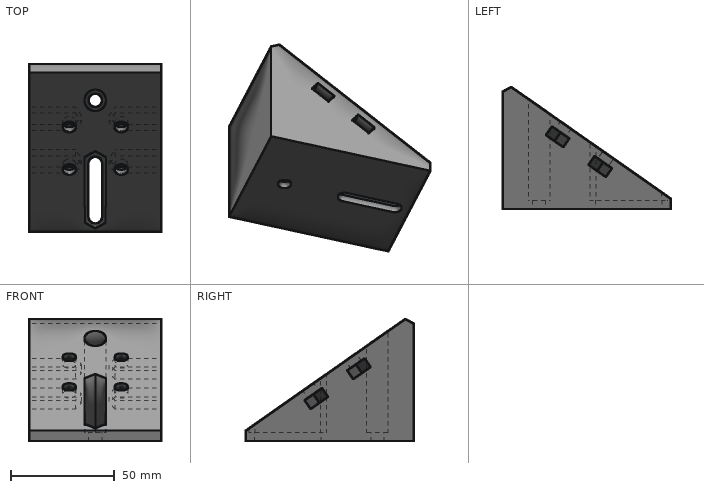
import cadquery as cq
import math

WIDTH = 63.5
DEPTH = 80.8
HEIGHT = 58.71
FRONT_HEIGHT = 5.0
BACK_HEIGHT = 56.5
SLOPE_ANGLE = 35.0
RIDGE_Y = (HEIGHT - FRONT_HEIGHT) / math.tan(math.radians(SLOPE_ANGLE))

HEAD_DIAMETER = 10.3
SCREW_DIAMETER = 6.3
SEAT_HEIGHT = 4.0
BACK_SCREW_Y = 63.3
SLOT_WIDTH = 6.5
SLOT_FRONT_Y = 7.4
SLOT_BACK_Y = 32.9
POCKET_FRONT_WIDTH = 10.0
POCKET_BACK_WIDTH = 10.4

HOLE_PITCH = 25.0
LOWER_ROW_DISTANCE = 36.64
NUT_ACROSS_FLATS = 10.2
NUT_SLOT_THICKNESS = 5.1
NUT_SLOT_COVER = 4.3
HOLE_DEPTH = NUT_SLOT_COVER + NUT_SLOT_THICKNESS


def hexagon_radius(across_flats):
    """Corner radius of a regular hexagon."""
    return across_flats / 2 / math.cos(math.pi / 6)


def make_wedge():
    profile = [
        (0, 0),
        (DEPTH, 0),
        (DEPTH, BACK_HEIGHT),
        (RIDGE_Y, HEIGHT),
        (0, FRONT_HEIGHT),
    ]
    return cq.Workplane("YZ").polyline(profile).close().extrude(WIDTH / 2, both=True)


def make_back_screw_hole():
    shank = cq.Workplane("XY").center(0, BACK_SCREW_Y).circle(SCREW_DIAMETER / 2).extrude(HEIGHT)
    head = (
        cq.Workplane("XY", origin=(0, BACK_SCREW_Y, SEAT_HEIGHT))
        .circle(HEAD_DIAMETER / 2)
        .extrude(HEIGHT)
    )
    return shank.union(head)


def make_front_slot():
    """Round-ended slot below a long pocket with pointed, half-hexagon ends."""
    slot_length = SLOT_BACK_Y - SLOT_FRONT_Y + SLOT_WIDTH
    slot = (
        cq.Workplane("XY")
        .center(0, (SLOT_FRONT_Y + SLOT_BACK_Y) / 2)
        .slot2D(slot_length, SLOT_WIDTH, 90)
        .extrude(HEIGHT)
    )
    front_radius = hexagon_radius(POCKET_FRONT_WIDTH)
    back_radius = hexagon_radius(POCKET_BACK_WIDTH)
    front_shoulder_y = SLOT_FRONT_Y - front_radius / 2
    back_shoulder_y = SLOT_BACK_Y + back_radius / 2
    outline = [
        (0, SLOT_FRONT_Y - front_radius),
        (POCKET_FRONT_WIDTH / 2, front_shoulder_y),
        (POCKET_BACK_WIDTH / 2, back_shoulder_y),
        (0, SLOT_BACK_Y + back_radius),
        (-POCKET_BACK_WIDTH / 2, back_shoulder_y),
        (-POCKET_FRONT_WIDTH / 2, front_shoulder_y),
    ]
    pocket = (
        cq.Workplane("XY", origin=(0, 0, SEAT_HEIGHT))
        .polyline(outline)
        .close()
        .extrude(HEIGHT)
    )
    return slot.union(pocket)


def make_slope_hole(side, distance):
    """Screw hole and nut slot; side is -1 or 1, distance runs up the slope."""
    angle = math.radians(SLOPE_ANGLE)
    slope = cq.Plane(
        origin=(0, 0, FRONT_HEIGHT),
        xDir=(1, 0, 0),
        normal=(0, -math.sin(angle), math.cos(angle)),
    )
    hole_x = side * HOLE_PITCH / 2
    hole = cq.Workplane(slope).center(hole_x, distance).circle(SCREW_DIAMETER / 2).extrude(-HOLE_DEPTH)

    nut_radius = hexagon_radius(NUT_ACROSS_FLATS)
    half_flats = NUT_ACROSS_FLATS / 2
    shoulder_x = hole_x - side * nut_radius / 2
    outer_x = side * WIDTH / 2
    outline = [
        (outer_x, distance - half_flats),
        (shoulder_x, distance - half_flats),
        (hole_x - side * nut_radius, distance),
        (shoulder_x, distance + half_flats),
        (outer_x, distance + half_flats),
    ]
    nut_slot = (
        cq.Workplane(slope)
        .workplane(offset=-NUT_SLOT_COVER)
        .polyline(outline)
        .close()
        .extrude(-NUT_SLOT_THICKNESS)
    )
    return hole.union(nut_slot)


result = make_wedge().cut(make_back_screw_hole()).cut(make_front_slot())
for hole_side in (-1, 1):
    for row in range(2):
        row_distance = LOWER_ROW_DISTANCE + row * HOLE_PITCH
        result = result.cut(make_slope_hole(hole_side, row_distance))